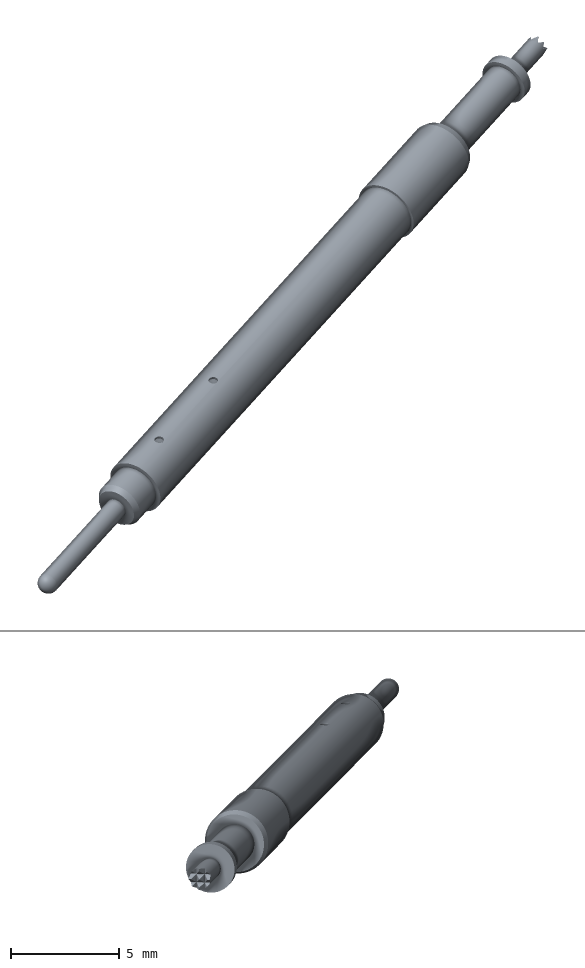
import cadquery as cq
import math


rod_diameter = 1.0
nose_diameter = 2.25
body_diameter = 2.73
head_diameter = 3.0
neck_diameter = 1.8
collar_diameter = 2.3

nose_front = 6.45
body_front = 8.1
head_front = 30.0
head_back = 35.15
collar_front = 40.25
collar_back = 40.8
crown_end = 43.3

nose_chamfer_radial = 0.17
nose_chamfer_length = 0.25
head_chamfer_radial = 0.15
head_chamfer_length = 0.35

dimple_positions = (10.18, 14.9)
dimple_diameter = 0.45
dimple_depth = 0.15

groove_offset = 0.195
groove_width = 2 * groove_offset
groove_angle = 60.0
groove_depth = groove_offset / math.tan(math.radians(groove_angle / 2))


def turned_probe():
    """Solid of revolution carrying all the stepped diameters."""
    rod = rod_diameter / 2
    nose = nose_diameter / 2
    body = body_diameter / 2
    head = head_diameter / 2
    neck = neck_diameter / 2
    collar = collar_diameter / 2
    dome_mid = rod * math.sin(math.pi / 4)

    return (
        cq.Workplane("XY")
        .moveTo(0, 0)
        .threePointArc((dome_mid, rod - dome_mid), (rod, rod))
        .lineTo(rod, nose_front)
        .lineTo(nose - nose_chamfer_radial, nose_front)
        .lineTo(nose, nose_front + nose_chamfer_length)
        .lineTo(nose, body_front)
        .lineTo(body, body_front)
        .lineTo(body, head_front)
        .lineTo(head, head_front)
        .lineTo(head, head_back - head_chamfer_length)
        .lineTo(head - head_chamfer_radial, head_back)
        .lineTo(neck, head_back)
        .lineTo(neck, collar_front)
        .lineTo(collar, collar_front)
        .lineTo(collar, collar_back)
        .lineTo(rod, collar_back)
        .lineTo(rod, crown_end)
        .lineTo(0, crown_end)
        .close()
        .revolve(360, (0, 0, 0), (0, 1, 0))
    )


def body_dimples():
    """Cutters for the shallow round dimples on the top of the body."""
    floor = body_diameter / 2 - dimple_depth
    return (
        cq.Workplane("XY", origin=(0, 0, floor))
        .pushPoints([(0, y) for y in dimple_positions])
        .circle(dimple_diameter / 2)
        .extrude(2 * dimple_depth)
    )


def crown_groove(offset):
    """V-groove cutter running along Z across the crown, shifted along X."""
    return (
        cq.Workplane("XY")
        .moveTo(offset - groove_width / 2, crown_end)
        .lineTo(offset, crown_end - groove_depth)
        .lineTo(offset + groove_width / 2, crown_end)
        .close()
        .extrude(rod_diameter, both=True)
    )


result = turned_probe().cut(body_dimples())
for offset in (-groove_offset, groove_offset):
    groove = crown_groove(offset)
    crossing_groove = groove.rotate((0, 0, 0), (0, 1, 0), 90)
    result = result.cut(groove).cut(crossing_groove)